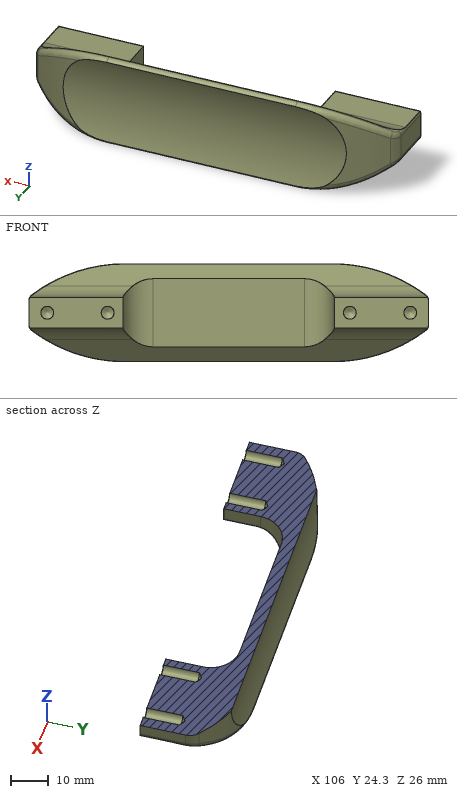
import cadquery as cq
import math

length = 106.0
half_length = length / 2
height = 26.0
half_height = height / 2
foot_width = 8.2
half_foot = foot_width / 2
depth = 24.6

flare_start_y = 9.3
flare_middle = (12.7, 5.0)
flare_end = (16.0, 7.1)
lip_back_y = 22.5
hollow_y = 21.9

straight_half = 27.6
end_top_y = 14.5
end_corner_radius = 4.2
rim_radius = 1.8
tolerance = 0.01

opening_half = 28.0
opening_depth = 18.1
opening_radius = 8.0

hole_diameter = 3.4
hole_depth = 10.0
hole_spacing = 16.0
outer_hole_x = 48.1
drill_point_angle = 118.0


def tangent_arc_middle(run, drop):
    """Offset to the middle of an arc that starts level and ends at (run, -drop)."""
    radius = (run**2 + drop**2) / (2 * drop)
    half_angle = math.atan2(drop, run)
    return radius * math.sin(half_angle), radius * (1 - math.cos(half_angle))


def flared_bar():
    """Constant Y-shaped section along the full length."""
    return (
        cq.Workplane("YZ", origin=(-half_length, 0, 0))
        .moveTo(0, -half_foot)
        .lineTo(0, half_foot)
        .lineTo(flare_start_y, half_foot)
        .threePointArc(flare_middle, flare_end)
        .lineTo(lip_back_y, half_height)
        .lineTo(depth, half_height)
        .threePointArc((hollow_y, 0), (depth, -half_height))
        .lineTo(lip_back_y, -half_height)
        .lineTo(flare_end[0], -flare_end[1])
        .threePointArc((flare_middle[0], -flare_middle[1]), (flare_start_y, -half_foot))
        .close()
        .extrude(length)
    )


def depth_envelope():
    """Foot plane to front, with both ends curving back toward the feet."""
    run = half_length - straight_half
    middle_run, middle_drop = tangent_arc_middle(run, depth - end_top_y)
    middle_x = straight_half + middle_run
    middle_y = depth - middle_drop
    return (
        cq.Workplane("XY", origin=(0, 0, -half_height))
        .moveTo(-half_length, 0)
        .lineTo(half_length, 0)
        .lineTo(half_length, end_top_y)
        .threePointArc((middle_x, middle_y), (straight_half, depth))
        .lineTo(-straight_half, depth)
        .threePointArc((-middle_x, middle_y), (-half_length, end_top_y))
        .close()
        .extrude(height)
        .edges(cq.selectors.BoxSelector(
            (-length, end_top_y - tolerance, -height),
            (length, end_top_y + tolerance, height),
        ))
        .fillet(end_corner_radius)
    )


def height_envelope():
    """Long outline whose ends narrow to the width of the feet."""
    run = half_length - straight_half
    middle_run, middle_drop = tangent_arc_middle(run, half_height - half_foot)
    middle_x = straight_half + middle_run
    middle_z = half_height - middle_drop
    return (
        cq.Workplane("XZ")
        .moveTo(-half_length, -half_foot)
        .lineTo(-half_length, half_foot)
        .threePointArc((-middle_x, middle_z), (-straight_half, half_height))
        .lineTo(straight_half, half_height)
        .threePointArc((middle_x, middle_z), (half_length, half_foot))
        .lineTo(half_length, -half_foot)
        .threePointArc((middle_x, -middle_z), (straight_half, -half_height))
        .lineTo(-straight_half, -half_height)
        .threePointArc((-middle_x, -middle_z), (-half_length, -half_foot))
        .close()
        .extrude(-depth)
    )


def finger_opening():
    """Opening between the feet, rounded where it meets the grip."""
    return (
        cq.Workplane("XY")
        .rect(2 * opening_half, 2 * opening_depth)
        .extrude(half_height, both=True)
        .edges("|Z and >Y")
        .fillet(opening_radius)
    )


def screw_hole(x):
    """Blind drilled hole entering a foot, with a conical bottom."""
    radius = hole_diameter / 2
    point_depth = radius / math.tan(math.radians(drill_point_angle / 2))
    return (
        cq.Workplane("XY")
        .moveTo(x, 0)
        .lineTo(x + radius, 0)
        .lineTo(x + radius, hole_depth)
        .lineTo(x, hole_depth + point_depth)
        .close()
        .revolve(360, (x, 0, 0), (x, 1, 0))
    )


def rounded_envelope():
    """Both outlines combined, with the front rim and the end corners rounded."""
    envelope = depth_envelope().intersect(height_envelope())
    rim = []
    for edge in envelope.edges().vals():
        box = edge.BoundingBox()
        on_one_side = box.zmin * box.zmax > 0
        above_base = box.ymax > tolerance
        side_seam = box.xlen < tolerance and box.ymax > depth - tolerance
        if on_one_side and above_base and not side_seam:
            rim.append(edge)
    return envelope.newObject(rim).fillet(rim_radius)


body = flared_bar().intersect(rounded_envelope())
result = body.cut(finger_opening())
for side in (-1, 1):
    for distance in (outer_hole_x, outer_hole_x - hole_spacing):
        result = result.cut(screw_hole(side * distance))